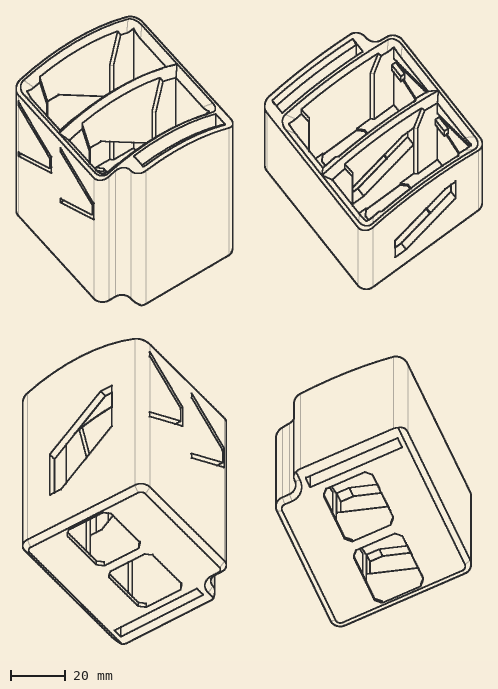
import cadquery as cq
import math

height = 82.9
depth = 56.0
corner_radius = 4.0
wall = 4.0
crown_radius = 60.0
base_chamfer = 2.15
floor_thickness = 2.0
over = 4.15

cell_width = 20.5
divider = 5.6
cell_depth = depth - 2 * wall
cell_pitch = cell_width + divider
cell_lefts = [wall, wall + cell_pitch]
body_width = 2 * wall + 2 * cell_width + divider

loop_reach = 2 * corner_radius
total_width = body_width + loop_reach
loop_front = 10.9
slot_width = loop_reach - wall
slot_front = 15.2
slot_back = depth - wall
slot_lead_width = 2.1
slot_lead_height = 2.1

lead_width = divider / 2
lead_height = 4.15

guide_depth = 1.0
guide_half = 14.0
flare_start = 59.6
flare_rate = 0.2

floor_hole_depth = 19.6
floor_hole_corner = 2.1

window_bottom = 19.4
window_height = 40.2
window_width = 27.85
window_side = 20.9
window_flat = 5.05

tongue_middle = 55.3
tongue_tip_half = 3.15
slit_width = 2.0
tip_slit_width = 1.0
tongue_angle = math.radians(30)
latch_length = 5.5
latch_depth = 1.7

middle_y = depth / 2
crown_z = height - crown_radius


def crown_height(y):
    """Height of the domed top at a given depth."""
    return crown_z + math.sqrt(crown_radius**2 - (y - middle_y) ** 2)


def crown_cone(points):
    """Turn an (x, radius) outline about the axis of the domed top."""
    outline = cq.Workplane("XY").polyline([(x, middle_y + r) for x, r in points]).close()
    ring = outline.revolve(360, (0, middle_y, 0), (1, middle_y, 0))
    return ring.translate((0, 0, crown_z))


def plan_outline(rounded):
    """Footprint of body and loop, with the loop corners sharp or rounded."""
    r = corner_radius
    k = r * math.sqrt(0.5)
    outline = (
        cq.Workplane("XY")
        .moveTo(0, 0)
        .lineTo(body_width, 0)
        .lineTo(body_width, loop_front - r)
        .threePointArc((body_width + r - k, loop_front - r + k), (body_width + r, loop_front))
    )
    if rounded:
        outline = outline.threePointArc(
            (body_width + r + k, loop_front + r - k), (total_width, loop_front + r)
        )
    else:
        outline = outline.lineTo(total_width, loop_front)
    return outline.lineTo(total_width, depth).lineTo(0, depth).close()


def make_body():
    """Solid block with loop, chamfered base and domed top."""
    body = plan_outline(rounded=False).extrude(height)
    front_right = cq.selectors.NearestToPointSelector((body_width, 0, height / 2))
    body = body.edges("|Z and <X").fillet(corner_radius)
    body = body.edges(front_right).fillet(corner_radius)
    body = body.faces("<Z").edges("not >X").chamfer(base_chamfer)
    loop_rounding = plan_outline(rounded=True).extrude(height)
    loop_rounding = loop_rounding.edges("|Z and (>X and >Y)").fillet(corner_radius)
    dome = cq.Workplane("YZ").center(middle_y, crown_z).circle(crown_radius).extrude(total_width)
    block = cq.Workplane("XY").box(total_width, depth, crown_z + over, centered=False)
    return body.intersect(loop_rounding).intersect(dome.union(block))


def cell_mouth(left, outer_side):
    """Lead-in of one cell, rounded at its two corners on the outer side."""
    right = left + cell_width
    spread = lead_width * over / lead_height
    low = crown_radius - lead_height - over
    high = crown_radius + over
    cone = crown_cone([
        (left + spread, low),
        (right - spread, low),
        (right + lead_width + spread, high),
        (left - lead_width - spread, high),
    ])

    half = cell_depth / 2
    run = lead_width * math.sqrt(1 - (half / crown_radius) ** 2)
    wall_z = crown_z + math.sqrt((crown_radius - lead_height) ** 2 - half**2)
    lip_z = crown_height(wall - run)
    run_per_rise = run / (lip_z - wall_z)
    bottom = wall_z - over
    top = height + over
    low_half = half - over * run_per_rise
    high_half = half + (top - wall_z) * run_per_rise
    slopes = (
        cq.Workplane("YZ", origin=(left - cell_width, middle_y, 0))
        .polyline([(-low_half, bottom), (-high_half, top), (high_half, top), (low_half, bottom)])
        .close()
        .extrude(3 * cell_width)
    )
    mouth = cone.intersect(slopes)
    return mouth.edges("%HYPERBOLA").edges(outer_side).fillet(corner_radius)


def guide_outline(left, widen):
    """Plan of both guides of a cell, joined across it; widen adds to each half width."""
    right = left + cell_width
    inner = guide_half + widen
    outer = inner + guide_depth
    points = []
    for side in (1, -1):
        points += [
            (left - guide_depth, side * inner),
            (left, side * outer),
            (right, side * outer),
            (right + guide_depth, side * inner),
        ][::side]
    return [(x, middle_y + y) for x, y in points]


def make_cell(left):
    """One cell with its flared guides and its hole in the floor."""
    right = left + cell_width
    cavity = (
        cq.Workplane("XY")
        .box(cell_width, cell_depth, height, centered=False)
        .translate((left, wall, floor_thickness))
    )
    straight = (
        cq.Workplane("XY", origin=(0, 0, floor_thickness))
        .polyline(guide_outline(left, 0)).close().extrude(flare_start - floor_thickness)
    )
    flare = (
        cq.Workplane("XY", origin=(0, 0, flare_start))
        .polyline(guide_outline(left, 0)).close()
        .workplane(offset=height - flare_start)
        .polyline(guide_outline(left, flare_rate * (height - flare_start))).close()
        .loft(ruled=True)
    )
    hole = (
        cq.Workplane("XY")
        .center((left + right) / 2, middle_y)
        .rect(cell_width + 2 * guide_depth, floor_hole_depth)
        .extrude(floor_thickness)
        .edges("|Z").chamfer(floor_hole_corner)
    )
    return cavity.union(straight).union(flare).union(hole)


def make_slot():
    """Strap slot through the loop, with a sloped lead-in on its outer side."""
    slot_left = body_width
    slot_right = body_width + slot_width
    slot = (
        cq.Workplane("XY")
        .box(slot_width, slot_back - slot_front, height, centered=False)
        .translate((slot_left, slot_front, 0))
    )
    lead = crown_cone([
        (slot_left, crown_radius - slot_lead_height),
        (slot_right, crown_radius - slot_lead_height),
        (slot_right + slot_lead_width, crown_radius),
        (slot_right + slot_lead_width, crown_radius + over),
        (slot_left, crown_radius + over),
    ])
    reach = (
        cq.Workplane("XY")
        .box(loop_reach, slot_back - slot_front, height, centered=False)
        .translate((slot_left, slot_front, height / 2))
    )
    return slot.union(lead.intersect(reach))


def make_window():
    """Window through the -X wall and the divider, ending inside the second cell."""
    y0 = middle_y - window_width / 2
    y1 = middle_y + window_width / 2
    z0 = window_bottom
    z1 = window_bottom + window_height
    outline = [
        (y1, z0), (y1, z0 + window_side), (y0 + window_flat, z1),
        (y0, z1), (y0, z1 - window_side), (y1 - window_flat, z0),
    ]
    return cq.Workplane("YZ").polyline(outline).close().extrude(cell_lefts[1])


def tongue_outline(left, tip, tip_half):
    root_half = tip_half + (tip - left) * math.tan(tongue_angle)
    return [
        (left, tongue_middle + root_half), (tip, tongue_middle + tip_half),
        (tip, tongue_middle - tip_half), (left, tongue_middle - root_half),
    ]


def make_slit(left):
    """Slit around one tongue, through the front wall."""
    outer_tip = left + cell_width
    inner_tip = outer_tip - tip_slit_width
    arm_height = slit_width / math.cos(tongue_angle)
    outer_half = tongue_tip_half + arm_height - tip_slit_width * math.tan(tongue_angle)
    front = cq.Workplane("XZ")
    outer = front.polyline(tongue_outline(left, outer_tip, outer_half)).close().extrude(-wall)
    inner = front.polyline(tongue_outline(left, inner_tip, tongue_tip_half)).close().extrude(-wall)
    return outer.cut(inner)


def make_latch(left):
    """Block on the inner face of one tongue tip."""
    tip = left + cell_width - tip_slit_width
    return (
        cq.Workplane("XY")
        .box(latch_length, latch_depth, 2 * tongue_tip_half, centered=False)
        .translate((tip - latch_length, wall, tongue_middle - tongue_tip_half))
    )


result = make_body()
for left, outer_side in zip(cell_lefts, ["<X", ">X"]):
    result = result.cut(make_cell(left)).cut(cell_mouth(left, outer_side))
result = result.cut(make_slot()).cut(make_window())
for left in cell_lefts:
    result = result.cut(make_slit(left)).union(make_latch(left))